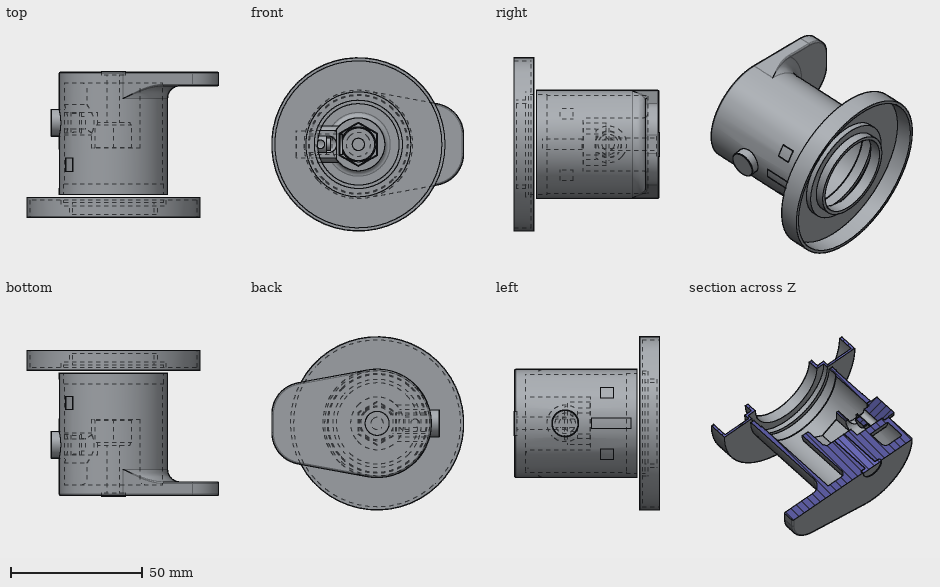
import cadquery as cq
import math


flange_diameter = 66.0
flange_depth = 7.6
dish_diameter = 63.6
dish_floor_y = 6.6
raised_diameter = 40.0
raised_front_y = 4.4
rear_recess_diameter = 38
rear_recess_floor_y = 5.55
sleeve_diameter = 33.6
sleeve_bore_diameter = 31.0
sleeve_front_y = 1.1

knob_diameter = 41.3
knob_radius = knob_diameter / 2
knob_front_y = 8.6
knob_back_y = 55.3
mouth_diameter = 38
mouth_end_y = 12.7
cavity_diameter = 37.3
cavity_floor_y = 51.2
back_edge_fillet = 0.6

overall_length = 73.1
lever_reach = overall_length - flange_diameter / 2
lever_taper = 10.4
lever_corner_radius = 12.1
lever_thickness = 5.2
lever_flare_radius = 4.8
lever_edge_fillet = 0.6

hub_diameter = 20.2
hub_front_y = 26.3
hub_flat_x = -8.25
hub_root_fillet = 2.05
socket_across_flats = 13.95
socket_floor_y = 35.1
socket_chamfer = 0.3
seat_diameter = 13.3
seat_floor_diameter = 12.4
seat_floor_y = 36.2

button_y = 36.0
button_end_x = -23.75
button_diameter = 10.2
button_edge_chamfer = 0.2
button_head_inner_x = -cavity_diameter / 2
stem_diameter = 7.75
stem_end_x = -12.1
tip_diameter = 4.7
tip_end_x = -10.5
cross_hole_diameter = 3.3
cross_hole_x = -14.5
stem_bore_end_x = -6.0
slot_width = 6.3
slot_end_x = hub_flat_x

rib_diameter = 13.95
rib_flat_width = 10.5
rib_front_y = button_y - math.sqrt(rib_diameter**2 - rib_flat_width**2) / 2

mark_depth = 0.15
mark_width = 3.95
long_mark_length = 15.1
long_mark_y = 18.5
short_mark_length = 5.05
short_mark_y = 20.0
short_mark_z = 11.7

cap_diameter = 9.15
cap_proud = 0.3
cap_head_depth = 1.0
cap_stem_diameter = 4.7


def disc(diameter, start_y, end_y):
    """Cylinder on the Y axis."""
    return cq.Workplane("XZ", origin=(0, start_y, 0)).circle(diameter / 2).extrude(start_y - end_y)


def rod(diameter, start_x, end_x):
    """Cylinder on the button axis, which runs along X."""
    plane = cq.Workplane("YZ", origin=(start_x, button_y, 0))
    return plane.circle(diameter / 2).extrude(end_x - start_x)


def block(x_range, y_range, width):
    """Box between two x and two y values, centred on z = 0."""
    length = x_range[1] - x_range[0]
    depth = y_range[1] - y_range[0]
    centre = (x_range[0] + length / 2, y_range[0] + depth / 2, 0)
    return cq.Workplane("XY").box(length, depth, width).translate(centre)


def make_flange():
    body = disc(flange_diameter, 0, flange_depth)
    body = body.cut(disc(dish_diameter, 0, dish_floor_y))
    body = body.union(disc(raised_diameter, raised_front_y, flange_depth))
    body = body.union(disc(sleeve_diameter, sleeve_front_y, flange_depth))
    body = body.cut(disc(rear_recess_diameter, rear_recess_floor_y, flange_depth))
    return body.cut(disc(sleeve_bore_diameter, 0, flange_depth))


def lever_outline():
    """Lever prism with straight flanks that leave the knob circle tangentially."""
    taper = math.radians(lever_taper)
    across = (math.sin(taper), math.cos(taper))
    root_x = knob_radius * across[0]
    root_z = knob_radius * across[1]
    corner_x = lever_reach - lever_corner_radius
    flank_x = corner_x + lever_corner_radius * across[0]
    flank_z = root_z - (flank_x - root_x) * math.tan(taper)
    corner_z = flank_z - lever_corner_radius * across[1]
    middle = (math.pi / 2 - taper) / 2
    middle_x = corner_x + lever_corner_radius * math.cos(middle)
    middle_z = corner_z + lever_corner_radius * math.sin(middle)
    return (
        cq.Workplane("XZ", origin=(0, knob_back_y, 0))
        .moveTo(root_x, root_z)
        .lineTo(flank_x, flank_z)
        .threePointArc((middle_x, middle_z), (lever_reach, corner_z))
        .lineTo(lever_reach, -corner_z)
        .threePointArc((middle_x, -middle_z), (flank_x, -flank_z))
        .lineTo(root_x, -root_z)
        .close()
        .extrude(lever_thickness + lever_flare_radius)
    )


def flared_plate():
    """Round plate as thick as the lever, flaring into the knob on its front."""
    front_y = knob_back_y - lever_thickness
    flare_end = (knob_radius, front_y - lever_flare_radius)
    flare_start = (knob_radius + lever_flare_radius, front_y)
    bulge = lever_flare_radius * (1 - math.sqrt(0.5))
    flare_middle = (knob_radius + bulge, front_y - bulge)
    plate_radius = 2 * knob_radius
    return (
        cq.Workplane("XY")
        .moveTo(0, knob_back_y)
        .lineTo(plate_radius, knob_back_y)
        .lineTo(plate_radius, front_y)
        .lineTo(*flare_start)
        .threePointArc(flare_middle, flare_end)
        .lineTo(0, flare_end[1])
        .close()
        .revolve(360, (0, 0, 0), (0, 1, 0))
    )


def knob_with_lever():
    lever = flared_plate().intersect(lever_outline())
    body = disc(knob_diameter, knob_front_y, knob_back_y).union(lever)
    body = body.faces(">Y").edges().fillet(back_edge_fillet)
    front_tip = (lever_reach, knob_back_y - lever_thickness, 0)
    return body.edges(cq.NearestToPointSelector(front_tip)).fillet(lever_edge_fillet)


def rib():
    """Round rib around the button's stem, from the knob wall to the hub, with a flat front."""
    body = rod(rib_diameter, -knob_radius, 0)
    return body.cut(block((-knob_radius, 0), (hub_front_y, rib_front_y), rib_diameter))


def hub():
    """Round hub with a filleted root, standing on the floor and cut flat above the rib."""
    floor = block((-knob_radius, knob_radius), (cavity_floor_y, knob_back_y), knob_diameter)
    body = floor.union(disc(hub_diameter, hub_front_y, cavity_floor_y))
    body = body.edges("%CIRCLE").edges(">Y").fillet(hub_root_fillet)
    return body.cut(block((-knob_radius, hub_flat_x), (hub_front_y, rib_front_y), hub_diameter))


def knob_cavity():
    mouth = disc(mouth_diameter, knob_front_y, mouth_end_y)
    cavity = disc(cavity_diameter, mouth_end_y, cavity_floor_y)
    return mouth.union(cavity).cut(hub()).cut(rib())


def hex_socket():
    """Hexagonal socket with a chamfered mouth and a slightly tapered round seat behind it."""
    corner_diameter = socket_across_flats / math.cos(math.pi / 6)
    mouth_corner_diameter = corner_diameter + 2 * socket_chamfer / math.cos(math.pi / 6)
    hexagon = cq.Workplane("XZ", origin=(0, socket_floor_y, 0)).transformed(rotate=(0, 0, 30))
    socket = hexagon.polygon(6, corner_diameter).extrude(socket_floor_y - hub_front_y)
    front = cq.Workplane("XZ", origin=(0, hub_front_y, 0)).transformed(rotate=(0, 0, 30))
    chamfer = (
        front.polygon(6, mouth_corner_diameter)
        .workplane(offset=-socket_chamfer)
        .polygon(6, corner_diameter)
        .loft(ruled=True)
    )
    seat = (
        cq.Workplane("XZ", origin=(0, socket_floor_y, 0))
        .circle(seat_diameter / 2)
        .workplane(offset=socket_floor_y - seat_floor_y)
        .circle(seat_floor_diameter / 2)
        .loft()
    )
    return socket.union(chamfer).union(seat)


def button_hole():
    """Stepped hole for the button, open into the socket and through a slot in the rib."""
    hole = rod(button_diameter, -knob_diameter, button_head_inner_x)
    hole = hole.union(rod(stem_diameter, button_head_inner_x, stem_bore_end_x))
    slot_end_centre_x = slot_end_x - slot_width / 2
    slot = block((button_head_inner_x, slot_end_centre_x), (rib_front_y, button_y), slot_width)
    slot_end = disc(slot_width, rib_front_y, button_y).translate((slot_end_centre_x, 0, 0))
    return hole.union(slot).union(slot_end)


def mark(length, centre_y, centre_z):
    """Shallow recess in the knob's outer surface, on the button's side."""
    x_range = (-knob_diameter, 0)
    y_range = (centre_y - length / 2, centre_y + length / 2)
    recess = block(x_range, y_range, mark_width).translate((0, 0, centre_z))
    return recess.cut(disc(knob_diameter - 2 * mark_depth, knob_front_y, knob_back_y))


def make_handle(cap):
    body = knob_with_lever().cut(knob_cavity())
    body = body.cut(hex_socket()).cut(button_hole())
    body = body.cut(mark(long_mark_length, long_mark_y, 0))
    for side in (-1, 1):
        body = body.cut(mark(short_mark_length, short_mark_y, side * short_mark_z))
    return body.cut(cap)


def make_button():
    head = rod(button_diameter, button_end_x, button_head_inner_x)
    head = head.faces("<X").chamfer(button_edge_chamfer)
    stem = rod(stem_diameter, button_head_inner_x, stem_end_x)
    tip = rod(tip_diameter, stem_end_x, tip_end_x)
    reach = stem_diameter
    cross_hole = disc(cross_hole_diameter, button_y - reach, button_y + reach)
    return head.union(stem).union(tip).cut(cross_hole.translate((cross_hole_x, 0, 0)))


def make_cap():
    """Round cap let into the back of the knob, its stem ending flush in the socket's seat."""
    head = disc(cap_diameter, knob_back_y - cap_head_depth, knob_back_y + cap_proud)
    return head.union(disc(cap_stem_diameter, seat_floor_y, knob_back_y))


flange = make_flange()
cap = make_cap()
button = make_button()
handle = make_handle(cap)

result = cq.Compound.makeCompound([flange.val(), handle.val(), button.val(), cap.val()])